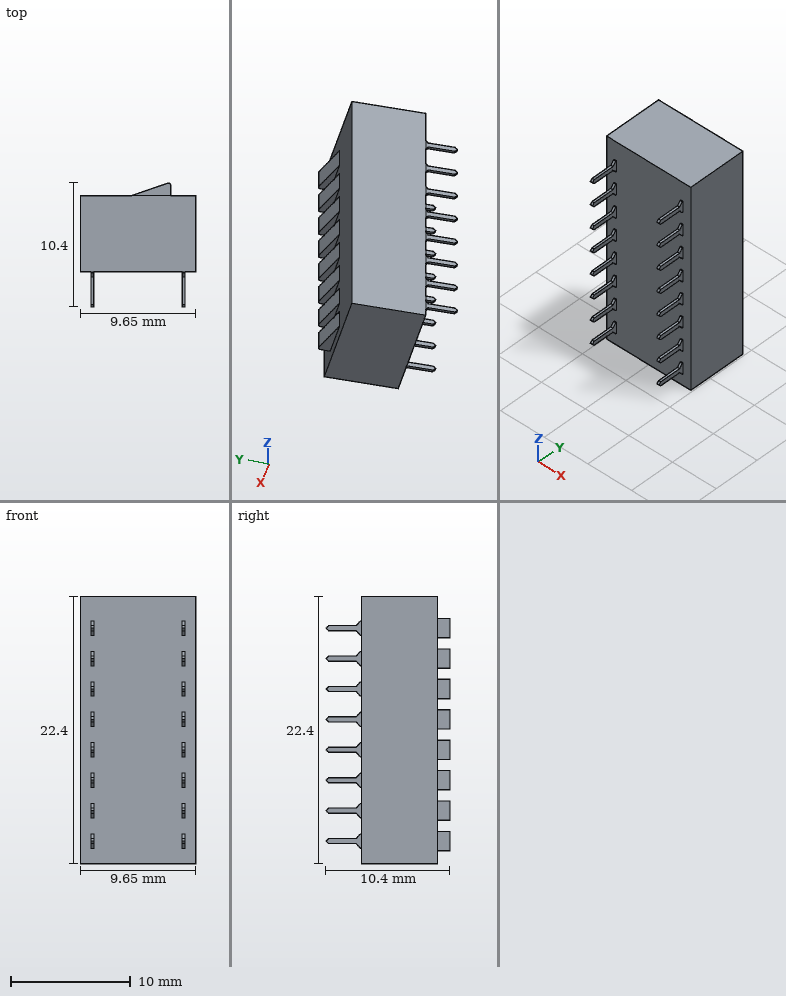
import cadquery as cq

housing_width = 9.65
housing_length = 22.35
housing_depth = 6.37

position_count = 8
position_span = 17.8
position_pitch = position_span / (position_count - 1)
first_position_z = 1.9
position_heights = [first_position_z + i * position_pitch for i in range(position_count)]

pin_row_spacing = 7.62
pin_thickness = 0.25
pin_length = 2.95
stem_half_width = 0.22
shoulder_half_width = 0.6
shoulder_straight = 0.1
shoulder_taper = 0.34
tip_length = stem_half_width

lever_start_x = -0.55
lever_end_x = 2.75
lever_peak_height = 1.15
lever_corner_radius = 0.22
lever_width = 1.63


def make_housing():
    """Rectangular body with its pin face at Y = 0 and its lower end at Z = 0."""
    return cq.Workplane("XY").box(housing_width, housing_depth, housing_length, centered=(True, False, False))


def make_pin(row_x, z):
    """Pin pointing to -Y from the housing, outlined in the YZ plane."""
    shoulder_end = -shoulder_straight - shoulder_taper
    upper_edge = [
        (0, shoulder_half_width),
        (-shoulder_straight, shoulder_half_width),
        (shoulder_end, stem_half_width),
        (-pin_length + tip_length, stem_half_width),
    ]
    lower_edge = [(y, -half_width) for y, half_width in reversed(upper_edge)]
    outline = upper_edge + [(-pin_length, 0)] + lower_edge
    return (
        cq.Workplane("YZ")
        .polyline(outline)
        .close()
        .extrude(pin_thickness / 2, both=True)
        .translate((row_x, 0, z))
    )


def make_lever(z):
    """Wedge rising towards +X, with a rounded peak."""
    return (
        cq.Workplane("XY")
        .moveTo(lever_start_x, housing_depth)
        .lineTo(lever_end_x, housing_depth)
        .lineTo(lever_end_x, housing_depth + lever_peak_height)
        .close()
        .extrude(lever_width / 2, both=True)
        .edges("|Z and >Y")
        .fillet(lever_corner_radius)
        .translate((0, 0, z))
    )


result = make_housing()
for height in position_heights:
    result = result.union(make_lever(height))
    for row_x in (-pin_row_spacing / 2, pin_row_spacing / 2):
        result = result.union(make_pin(row_x, height))